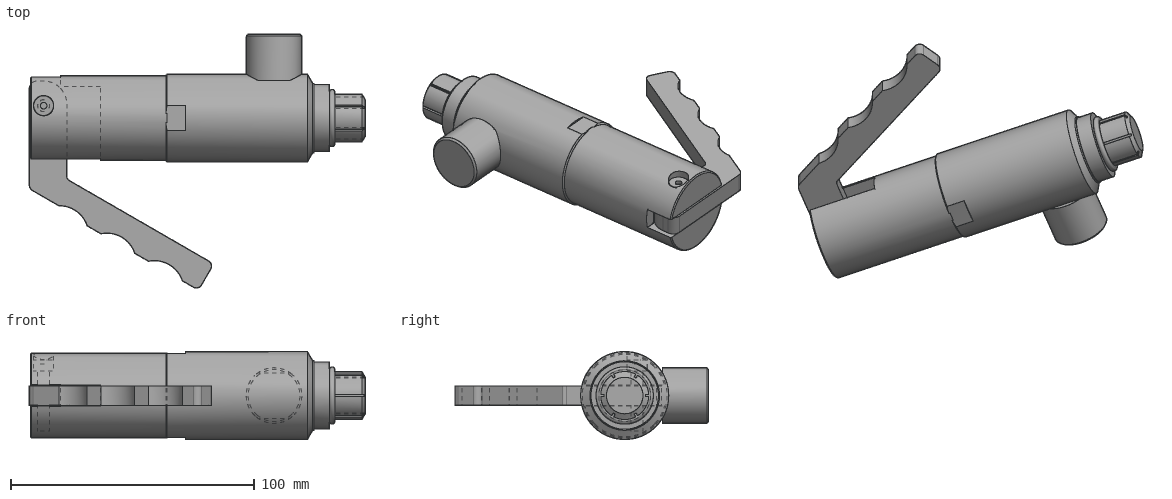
import cadquery as cq
import math


REAR_X = 0.5
REAR_CHAMFER = 0.5
SHOULDER_X = 56.7
SHOULDER_CONE_LENGTH = 0.5
NOSE_CONE_X = 114.3
NOSE_CONE_ANGLE = 60.0
NECK_END_X = 117.1
COLLAR_END_X = 123.3
RING_END_X = 125.6
SPINDLE_END_X = 138.13

REAR_DIAMETER = 34.87
BARREL_DIAMETER = 36.2
NECK_DIAMETER = 28.6
COLLAR_DIAMETER = 27.71
RING_DIAMETER = 23.6
SPINDLE_DIAMETER = 19.7
SPINDLE_TIP_DIAMETER = 15.0
SPINDLE_CHAMFER_LENGTH = 1.4

GROOVE_COUNT = 6
GROOVE_WIDTH = 0.9
GROOVE_ROOT_DIAMETER = 17.14

PORT_X = 100.6
PORT_DIAMETER = 22.86
PORT_BASE_Y = 15.5
PORT_TOP_Y = 34.52
PORT_CHAMFER = 0.8

FLAT_LENGTH = 7.5
FLAT_WIDTH = 10.4

SLOT_WIDTH = 8.8
SLOT_FAR_END_X = 12.9
SLOT_GRIP_END_X = 29.3
SLOT_STEP_Y = 13.0

PIVOT_X = 5.95
PIVOT_Y = 5.1
PIN_DIAMETER = 4.83
PIN_BORE_DIAMETER = 4.98
PIN_HEAD_DIAMETER = 8.16
PIN_HEAD_BORE_DIAMETER = 8.33
PIN_HEAD_TOP_Z = 14.5
PIN_HEAD_HEIGHT = 4.5
PIN_END_Z = -14.5
PIN_SOCKET_DIAMETER = 2.7
PIN_SOCKET_DEPTH = 1.5

HANDLE_THICKNESS = 8.0
SHANK_WIDTH = 15.5
SHANK_TOP_Y = 15.2
SHANK_REAR_FILLET = 3.3
SHANK_FRONT_FILLET = 9.5
GRIP_ANGLE = 30.0
GRIP_THICKNESS = 12.5
GRIP_INNER_Y = -25.05
HEEL_Y = -29.0
HEEL_FILLET = 3.0
THROAT_FILLET = 2.0
TIP_FILLET = 2.5
GRIP_LENGTH = 69.7
FINGER_COUNT = 3
FINGER_RADIUS = 12.0
FINGER_PITCH = 22.55
FINGER_CENTER_OFFSET = 8.94
FIRST_FINGER_X = 12.45

CUT_MARGIN = 5.0


def box_between(x_range, y_range, z_range):
    """Axis-aligned box spanning the three (low, high) ranges."""
    sizes = [high - low for low, high in (x_range, y_range, z_range)]
    corner = (x_range[0], y_range[0], z_range[0])
    return cq.Workplane("XY").box(*sizes, centered=False).translate(corner)


def vertical_cylinder(diameter, bottom_z, top_z):
    """Cylinder along Z on the pivot axis."""
    return (
        cq.Workplane("XY", origin=(PIVOT_X, PIVOT_Y, bottom_z))
        .circle(diameter / 2)
        .extrude(top_z - bottom_z)
    )


def turned_body():
    """Rear section, barrel, nose cone, collar, half-round ring and spindle as one turned shape."""
    nose_drop = (BARREL_DIAMETER - NECK_DIAMETER) / 2
    nose_end_x = NOSE_CONE_X + nose_drop / math.tan(math.radians(NOSE_CONE_ANGLE))
    ring_radius = RING_DIAMETER / 2
    ring_section_radius = (RING_END_X - COLLAR_END_X) / 2
    ring_side_radius = ring_radius - ring_section_radius
    ring_crest = (COLLAR_END_X + ring_section_radius, ring_radius)
    outline = (
        cq.Workplane("XY")
        .moveTo(REAR_X, 0)
        .lineTo(REAR_X, REAR_DIAMETER / 2 - REAR_CHAMFER)
        .lineTo(REAR_X + REAR_CHAMFER, REAR_DIAMETER / 2)
        .lineTo(SHOULDER_X - SHOULDER_CONE_LENGTH, REAR_DIAMETER / 2)
        .lineTo(SHOULDER_X, BARREL_DIAMETER / 2)
        .lineTo(NOSE_CONE_X, BARREL_DIAMETER / 2)
        .lineTo(nose_end_x, NECK_DIAMETER / 2)
        .lineTo(NECK_END_X, NECK_DIAMETER / 2)
        .lineTo(NECK_END_X, COLLAR_DIAMETER / 2)
        .lineTo(COLLAR_END_X, COLLAR_DIAMETER / 2)
        .lineTo(COLLAR_END_X, ring_side_radius)
        .threePointArc(ring_crest, (RING_END_X, ring_side_radius))
        .lineTo(RING_END_X, SPINDLE_DIAMETER / 2)
        .lineTo(SPINDLE_END_X - SPINDLE_CHAMFER_LENGTH, SPINDLE_DIAMETER / 2)
        .lineTo(SPINDLE_END_X, SPINDLE_TIP_DIAMETER / 2)
        .lineTo(SPINDLE_END_X, 0)
        .close()
    )
    return outline.revolve(360, (0, 0, 0), (1, 0, 0))


def side_port():
    """Port on the +Y side; its lower end is a flat face that overhangs the barrel."""
    length = PORT_TOP_Y - PORT_BASE_Y
    port = cq.Workplane("XY").circle(PORT_DIAMETER / 2).extrude(length)
    port = port.faces(">Z").chamfer(PORT_CHAMFER)
    return port.rotate((0, 0, 0), (1, 0, 0), -90).translate((PORT_X, PORT_BASE_Y, 0))


def wrench_flats():
    """Cutters for the two opposite flats just ahead of the shoulder."""
    half_width = FLAT_WIDTH / 2
    flat_z = math.sqrt((BARREL_DIAMETER / 2) ** 2 - half_width**2)
    upper = box_between(
        (SHOULDER_X - SHOULDER_CONE_LENGTH, SHOULDER_X + FLAT_LENGTH),
        (-half_width, half_width),
        (flat_z, flat_z + CUT_MARGIN),
    )
    rear = cq.Workplane("YZ").circle(REAR_DIAMETER / 2).extrude(SHOULDER_X)
    upper = upper.cut(rear)
    return upper.union(upper.mirror("XY"))


def spindle_grooves():
    """Cutters for the grooves spaced evenly around the spindle, one facing -Y."""
    groove = box_between(
        (RING_END_X, SPINDLE_END_X + CUT_MARGIN),
        (GROOVE_ROOT_DIAMETER / 2, SPINDLE_DIAMETER),
        (-GROOVE_WIDTH / 2, GROOVE_WIDTH / 2),
    )
    cutters = cq.Workplane("XY")
    for index in range(GROOVE_COUNT):
        turn = 360 / GROOVE_COUNT * index
        cutters = cutters.add(groove.rotate((0, 0, 0), (1, 0, 0), turn))
    return cutters.combine()


def handle_slot():
    """Cutter for the stepped slot, open at the rear and on both sides."""
    half_width = SLOT_WIDTH / 2
    outside = BARREL_DIAMETER
    z_range = (-half_width, half_width)
    far_part = box_between((-CUT_MARGIN, SLOT_FAR_END_X), (SLOT_STEP_Y, outside), z_range)
    grip_part = box_between((-CUT_MARGIN, SLOT_GRIP_END_X), (-outside, SLOT_STEP_Y), z_range)
    return far_part.union(grip_part)


def pin_bore():
    """Cutter for the pin shank bore and the larger head bore, open at the top."""
    head_bottom_z = PIN_HEAD_TOP_Z - PIN_HEAD_HEIGHT
    shank = vertical_cylinder(PIN_BORE_DIAMETER, PIN_END_Z, head_bottom_z)
    head = vertical_cylinder(PIN_HEAD_BORE_DIAMETER, head_bottom_z, BARREL_DIAMETER)
    return shank.union(head)


def make_housing():
    body = turned_body().union(side_port())
    body = body.cut(wrench_flats()).cut(spindle_grooves())
    return body.cut(handle_slot()).cut(pin_bore())


def make_handle():
    """Shank, angled finger grip and the pivot pin through them."""
    angle = math.radians(GRIP_ANGLE)
    along = cq.Vector(math.cos(angle), -math.sin(angle))
    outward = cq.Vector(-math.sin(angle), -math.cos(angle))

    throat = cq.Vector(SHANK_WIDTH, GRIP_INNER_Y)
    inner_tip = throat + along * GRIP_LENGTH
    outer_tip = inner_tip + outward * GRIP_THICKNESS
    grip_base = throat + outward * GRIP_THICKNESS
    center_line_start = grip_base + outward * FINGER_CENTER_OFFSET
    first_center = center_line_start + along * ((FIRST_FINGER_X - center_line_start.x) / along.x)

    heel_end_x = FIRST_FINGER_X + CUT_MARGIN
    heel_end = cq.Vector(heel_end_x, HEEL_Y - heel_end_x * math.tan(angle))
    heel_drop = (grip_base - heel_end).dot(outward)
    outline = [
        (0, SHANK_TOP_Y),
        (SHANK_WIDTH, SHANK_TOP_Y),
        throat.toTuple()[:2],
        inner_tip.toTuple()[:2],
        outer_tip.toTuple()[:2],
        (heel_end + outward * heel_drop).toTuple()[:2],
        heel_end.toTuple()[:2],
        (0, HEEL_Y),
    ]
    plate = (
        cq.Workplane("XY", origin=(0, 0, -HANDLE_THICKNESS / 2))
        .polyline(outline)
        .close()
        .extrude(HANDLE_THICKNESS)
    )

    rounded_corners = [
        (outline[0], SHANK_REAR_FILLET),
        (outline[1], SHANK_FRONT_FILLET),
        (outline[2], THROAT_FILLET),
        (outline[3], TIP_FILLET),
        (outline[4], TIP_FILLET),
        (outline[7], HEEL_FILLET),
    ]
    for corner, radius in rounded_corners:
        plate = plate.edges(cq.selectors.NearestToPointSelector((*corner, 0))).fillet(radius)

    for index in range(FINGER_COUNT):
        center = first_center + along * (FINGER_PITCH * index)
        recess = (
            cq.Workplane("XY", origin=(center.x, center.y, -HANDLE_THICKNESS))
            .circle(FINGER_RADIUS)
            .extrude(2 * HANDLE_THICKNESS)
        )
        plate = plate.cut(recess)

    shank = vertical_cylinder(PIN_DIAMETER, PIN_END_Z, PIN_HEAD_TOP_Z)
    head = vertical_cylinder(PIN_HEAD_DIAMETER, PIN_HEAD_TOP_Z - PIN_HEAD_HEIGHT, PIN_HEAD_TOP_Z)
    socket = vertical_cylinder(PIN_SOCKET_DIAMETER, PIN_HEAD_TOP_Z - PIN_SOCKET_DEPTH, PIN_HEAD_TOP_Z)
    return plate.union(shank).union(head).cut(socket)


housing = make_housing()
handle = make_handle()

result = cq.Compound.makeCompound([housing.val(), handle.val()])